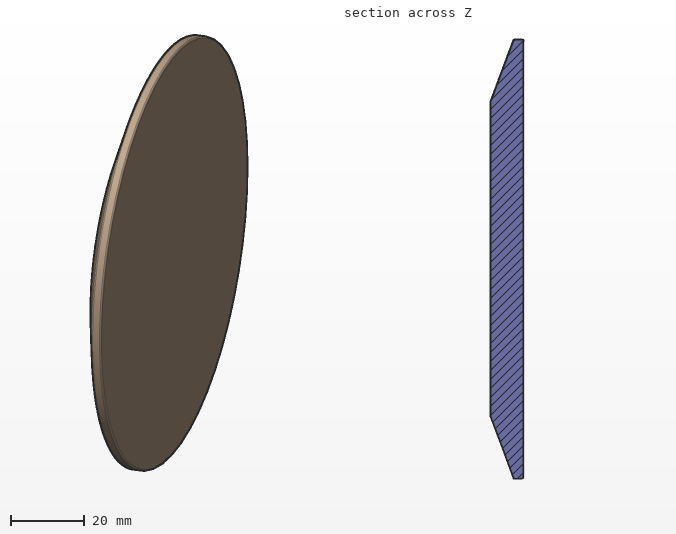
import cadquery as cq

outer_radius = 59.5
thickness = 9.0
face_radius = 42.6
rim_width = 2.7
rim_fillet = 0.5

half_profile = (
    cq.Workplane("XY")
    .moveTo(0, 0)
    .lineTo(0, face_radius)
    .lineTo(thickness - rim_width, outer_radius)
    .lineTo(thickness, outer_radius)
    .lineTo(thickness, 0)
    .close()
)
disc = half_profile.revolve(360, (0, 0, 0), (1, 0, 0))

rim_edges = cq.selectors.RadiusNthSelector(-1)
result = disc.edges(rim_edges).fillet(rim_fillet)